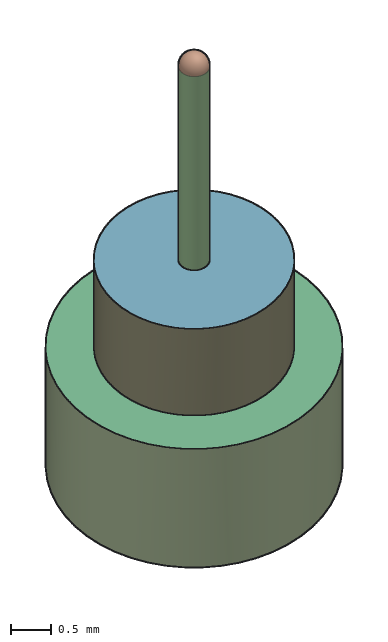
import cadquery as cq

total_height = 7.1
base_diameter = 3.7
base_height = 2.05
collar_diameter = 2.5
collar_height = 1.5
pin_diameter = 0.4

pin_radius = pin_diameter / 2
collar_top = base_height + collar_height
pin_length = total_height - collar_top


def cylinder(diameter, height, bottom):
    """Upright cylinder on the Z axis, starting at the given height."""
    return cq.Workplane("XY").workplane(offset=bottom).circle(diameter / 2).extrude(height)


base = cylinder(base_diameter, base_height, 0)
collar = cylinder(collar_diameter, collar_height, base_height)

shank = cylinder(pin_diameter, pin_length - pin_radius, collar_top)
tip = cq.Workplane("XY").sphere(pin_radius).translate((0, 0, total_height - pin_radius))

result = base.union(collar).union(shank).union(tip)